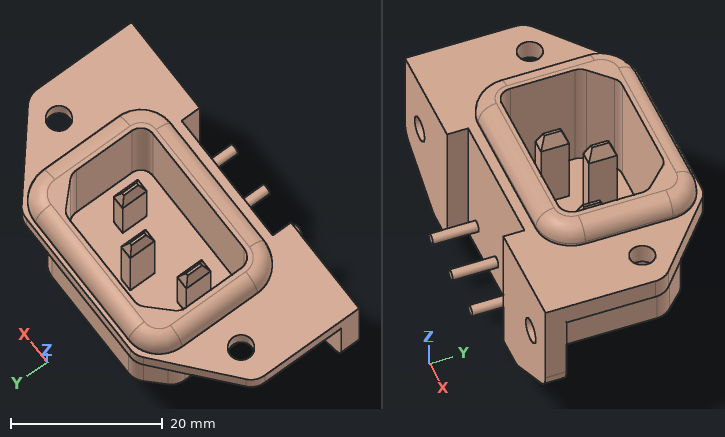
import cadquery as cq
import math


flange_width = 50.0
flange_depth = 27.6
flange_top = 20.0
wall = 3.0
outline_radius = 3.0
flange_flat_half = 12.5
flange_side_end = 17.0
ear_flat_half = 14.75
ear_slant_angle = 30.0
notch_width = 20.0
screw_hole_diameter = 3.5
flange_hole_x = 20.0
flange_hole_y = 15.75
ear_hole_x = 19.75
ear_hole_z = 11.5

housing_half = 13.7
housing_back = 25.65
housing_chamfer = 4.1
housing_radius = 3.0

socket_y = 15.75
collar_width = 30.5
collar_depth = 22.45
collar_height = 3.0
collar_corner_radius = 5.0
collar_edge_radius = 2.55

cavity_width = 24.0
cavity_depth = 16.0
cavity_floor = 6.0
cavity_chamfer = 4.0
cavity_radius = 2.0

blade_thickness = 2.0
blade_width = 4.0
blade_taper_height = 2.0
blade_taper_inset = 0.8
earth_blade_y = 17.75
earth_blade_tip = 21.0
side_blade_y = 13.75
side_blade_tip = 18.0
contact_pitch = 7.0

pin_diameter = 1.55
pin_z = 4.2
pin_length = 6.5

lug_slot_width = 1.75
lug_slot_length = 3.7
lug_length = 5.7

collar_top = flange_top + collar_height


def chamfered_block(half_width, front, back, chamfer, bottom, top):
    """Upright block whose two rear corners are cut at 45 degrees."""
    points = [
        (-half_width, front),
        (half_width, front),
        (half_width, back - chamfer),
        (half_width - chamfer, back),
        (chamfer - half_width, back),
        (-half_width, back - chamfer),
    ]
    return cq.Workplane("XY").workplane(offset=bottom).polyline(points).close().extrude(top - bottom)


def make_flange():
    half = flange_width / 2
    points = [
        (-half, 0),
        (half, 0),
        (half, flange_side_end),
        (flange_flat_half, flange_depth),
        (-flange_flat_half, flange_depth),
        (-half, flange_side_end),
    ]
    plate = cq.Workplane("XY").workplane(offset=flange_top - wall).polyline(points).close().extrude(wall)
    plate = plate.edges("|Z and (not <Y)").fillet(outline_radius)
    holes = (
        cq.Workplane("XY")
        .workplane(offset=flange_top - wall)
        .pushPoints([(-flange_hole_x, flange_hole_y), (flange_hole_x, flange_hole_y)])
        .circle(screw_hole_diameter / 2)
        .extrude(wall)
    )
    return plate.cut(holes)


def make_ears():
    """Front plate with slanted lower corners and a full-height notch that leaves two ears."""
    half = flange_width / 2
    slant_height = (half - ear_flat_half) * math.tan(math.radians(ear_slant_angle))
    points = [
        (-half, flange_top),
        (-half, slant_height),
        (-ear_flat_half, 0),
        (ear_flat_half, 0),
        (half, slant_height),
        (half, flange_top),
    ]
    plate = cq.Workplane("XZ").polyline(points).close().extrude(-wall)
    plate = plate.edges("|Y and (not >Z)").fillet(outline_radius)
    holes = (
        cq.Workplane("XZ")
        .pushPoints([(-ear_hole_x, ear_hole_z), (ear_hole_x, ear_hole_z)])
        .circle(screw_hole_diameter / 2)
        .extrude(-wall)
    )
    return plate.cut(holes)


def make_notch():
    return cq.Workplane("XY").center(0, wall / 2).rect(notch_width, wall).extrude(flange_top)


def make_housing():
    block = chamfered_block(housing_half, wall, housing_back, housing_chamfer, 0, flange_top)
    return block.edges("|Z and (not <Y)").fillet(housing_radius)


def make_collar():
    collar = (
        cq.Workplane("XY")
        .workplane(offset=flange_top)
        .center(0, socket_y)
        .rect(collar_width, collar_depth)
        .extrude(collar_height)
    )
    collar = collar.edges("|Z").fillet(collar_corner_radius)
    return collar.faces(">Z").edges().fillet(collar_edge_radius)


def make_cavity():
    front = socket_y - cavity_depth / 2
    back = socket_y + cavity_depth / 2
    block = chamfered_block(cavity_width / 2, front, back, cavity_chamfer, cavity_floor, collar_top)
    return block.edges("|Z").fillet(cavity_radius)


def make_blade(x, y, tip):
    """Contact blade rising from the cavity floor, tapered on all four sides to its tip."""
    shoulder = tip - blade_taper_height
    shank = (
        cq.Workplane("XY")
        .workplane(offset=cavity_floor)
        .center(x, y)
        .rect(blade_thickness, blade_width)
        .extrude(shoulder - cavity_floor)
    )
    taper = (
        cq.Workplane("XY")
        .workplane(offset=shoulder)
        .center(x, y)
        .rect(blade_thickness, blade_width)
        .workplane(offset=blade_taper_height)
        .rect(blade_thickness - 2 * blade_taper_inset, blade_width - 2 * blade_taper_inset)
        .loft()
    )
    return shank.union(taper)


def make_pins():
    return (
        cq.Workplane("XZ", origin=(0, wall, 0))
        .pushPoints([(-contact_pitch, pin_z), (0, pin_z), (contact_pitch, pin_z)])
        .circle(pin_diameter / 2)
        .extrude(pin_length)
    )


def make_lug():
    """Round-ended tab with a slot whose lower end is concentric with the tab's end."""
    end_radius = blade_width / 2
    end_z = end_radius - lug_length
    slot_z = end_z + (lug_slot_length - lug_slot_width) / 2
    tab = (
        cq.Workplane("YZ")
        .moveTo(earth_blade_y - end_radius, 0)
        .lineTo(earth_blade_y - end_radius, end_z)
        .threePointArc((earth_blade_y, -lug_length), (earth_blade_y + end_radius, end_z))
        .lineTo(earth_blade_y + end_radius, 0)
        .close()
        .extrude(blade_thickness / 2, both=True)
    )
    slot = (
        cq.Workplane("YZ")
        .center(earth_blade_y, slot_z)
        .slot2D(lug_slot_length, lug_slot_width, 90)
        .extrude(blade_thickness / 2, both=True)
    )
    return tab.cut(slot)


shell = make_flange().union(make_ears()).cut(make_notch()).union(make_housing())
shell = shell.union(make_collar()).cut(make_cavity())

result = shell.union(make_blade(0, earth_blade_y, earth_blade_tip))
for blade_x in (-contact_pitch, contact_pitch):
    result = result.union(make_blade(blade_x, side_blade_y, side_blade_tip))
result = result.union(make_pins()).union(make_lug())